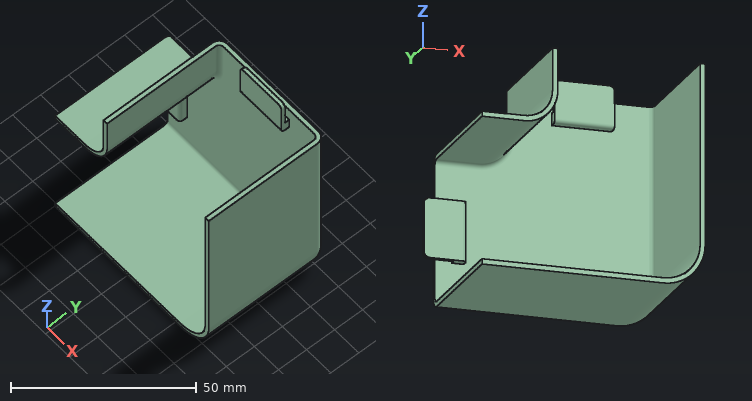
import cadquery as cq
import math

overall = 67.6
depth = 41.7
tab_overhang = 4.0
duct_width = 43.55
wall = 1.5
bend_outer_radius = 12.0
bend_inner_radius = 8.0
back_edge_radius = 3.0
tab_width = 17.05
tab_length = 12.2
tab_offset = 13.3
tab_thickness = 1.3
tab_corner_radius = 1.5
tab_inner_edge_radius = 1.15
foot_height = 1.5
foot_length = 3.45

duct_length = overall - tab_overhang
panel_y = depth - wall


def elbow(inset, back, edge_radius):
    """Solid elbow from the front plane to `back`, its long sides inset from the outside."""
    open_x = tab_overhang
    outer_x = overall - inset
    inner_x = overall - duct_width + inset
    open_z = duct_length
    outer_z = inset
    inner_z = duct_width - inset
    outer_r = bend_outer_radius - inset
    inner_r = bend_inner_radius + inset
    cos_45 = math.sqrt(0.5)
    outer_center = (outer_x - outer_r, outer_z + outer_r)
    inner_center = (inner_x - inner_r, inner_z + inner_r)
    outer_mid = (outer_center[0] + outer_r * cos_45, outer_center[1] - outer_r * cos_45)
    inner_mid = (inner_center[0] + inner_r * cos_45, inner_center[1] - inner_r * cos_45)
    body = (
        cq.Workplane("XZ")
        .moveTo(open_x, outer_z)
        .lineTo(outer_center[0], outer_z)
        .threePointArc(outer_mid, (outer_x, outer_center[1]))
        .lineTo(outer_x, open_z)
        .lineTo(inner_x, open_z)
        .lineTo(inner_x, inner_center[1])
        .threePointArc(inner_mid, (inner_center[0], inner_z))
        .lineTo(open_x, inner_z)
        .close()
        .extrude(-back)
    )
    open_ends = cq.selectors.BoxSelector(
        (open_x - wall / 2, 0, 0), (open_x + wall / 2, depth + wall, duct_width)
    ) + cq.selectors.BoxSelector(
        (0, 0, open_z - wall / 2), (overall, depth + wall, open_z + wall / 2)
    )
    back_edges = cq.selectors.StringSyntaxSelector("#Y") - open_ends
    return body.faces(">Y").edges(back_edges).fillet(edge_radius)


def top_tab():
    """Tab standing out of the upper open end, joined to the back panel by a foot."""
    tab_x = overall - tab_offset - tab_width
    tab_z = overall - tab_length
    plate_y = panel_y - foot_height - tab_thickness
    plate = (
        cq.Workplane("XY")
        .box(tab_width, tab_thickness, tab_length, centered=False)
        .edges("|Y and >Z")
        .fillet(tab_corner_radius)
        .edges("<Y and <Z")
        .fillet(tab_inner_edge_radius)
        .translate((tab_x, plate_y, tab_z))
    )
    foot = (
        cq.Workplane("XY")
        .box(tab_width, foot_height + wall / 2, foot_length, centered=False)
        .translate((tab_x, panel_y - foot_height, tab_z))
    )
    return plate.union(foot)


def side_tab(tab):
    """The same tab at the left open end, mirrored about the elbow's diagonal plane."""
    diagonal_normal = (1, 0, 1)
    return tab.mirror(diagonal_normal, (overall, 0, 0))


shell = elbow(0, depth, back_edge_radius).cut(
    elbow(wall, panel_y, back_edge_radius - wall)
)
tab = top_tab()
result = shell.union(tab).union(side_tab(tab))